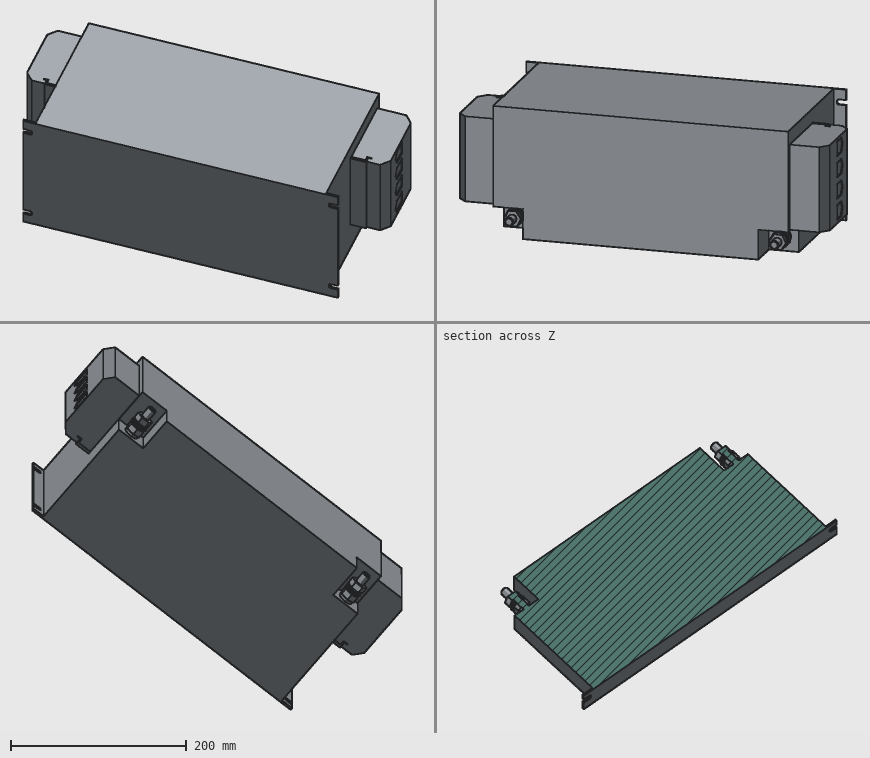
import cadquery as cq
import math


overall_length = 439.5
overall_depth = 180.2
overall_height = 155.0
body_length = 351.0
plate_length = 380.3
plate_thickness = 2.5
end_x = body_length / 2
back_y = overall_depth
bottom_z = -overall_height / 2
top_z = overall_height / 2

slot_width = 6.0
slot_depth = 11.0
slot_edge_offset = 15.5

terminal_count = 4
terminal_height = 25.28
block_depth = 89.0
block_back_offset = 6.0
block_top_offset = 17.0
chamfer_x = 9.2
chamfer_y = 10.5
block_height = terminal_count * terminal_height
block_back_y = back_y - block_back_offset
block_front_y = block_back_y - block_depth
block_top_z = top_z - block_top_offset
block_bottom_z = block_top_z - block_height

opening_depth = 1.5
opening_width = 17.0
opening_back_y = 134.0
opening_shoulder_y = 117.0
opening_tip_y = 112.0

rail_front_y = 83.5
rail_web_thickness = 3.0
rail_lip_x = 194.5
rail_lip_thickness = 1.8
rail_flange_y = 92.5
rail_flange_x = 198.3
rail_flange_thickness = 1.0
rail_overhang = 0.5

notch_length = 35.5
notch_depth = 42.0
notch_height = 35.5
notch_wall_y = back_y - notch_depth

stud_diameter = 10.0
stud_chamfer = 1.0
stud_tip = 3.5
nut_across_flats = 17.5
outer_nut_start = 16.5
outer_nut_end = 24.5
outer_nut_angle = 4.0
washer_diameter = 20.2
washer_start = 27.0
washer_end = 28.5
inner_nut_start = 30.8
inner_nut_end = 38.5
inner_nut_angle = 30.0
collar_diameter = 17.0
nut_corner_diameter = nut_across_flats / math.cos(math.pi / 6)
stud_x = -end_x + notch_length / 2
stud_z = bottom_z + notch_height / 2


def box(x_range, y_range, z_range):
    """Box spanning the given (low, high) ranges."""
    low, high = zip(x_range, y_range, z_range)
    size = [b - a for a, b in zip(low, high)]
    return cq.Workplane("XY").box(*size, centered=False).translate(low)


def make_housing():
    body = box((-end_x, end_x), (0, back_y), (bottom_z, top_z))
    plate_end = plate_length / 2
    plate = box((-plate_end, plate_end), (0, plate_thickness), (bottom_z, top_z))
    return body.union(plate)


def make_slots():
    """Round-ended cutters for the four open mounting slots."""
    slot_x = plate_length / 2
    slot_z = top_z - slot_edge_offset
    return (
        cq.Workplane("XZ")
        .pushPoints([(x, z) for x in (-slot_x, slot_x) for z in (-slot_z, slot_z)])
        .slot2D(2 * slot_depth, slot_width)
        .extrude(-plate_thickness)
    )


def make_terminal_block():
    """Left terminal block with chamfered outer corners and shallow wire openings."""
    outer_x = -overall_length / 2
    block = (
        cq.Workplane("XY")
        .workplane(offset=block_bottom_z)
        .polyline([
            (-end_x, block_front_y),
            (outer_x + chamfer_x, block_front_y),
            (outer_x, block_front_y + chamfer_y),
            (outer_x, block_back_y - chamfer_y),
            (outer_x + chamfer_x, block_back_y),
            (-end_x, block_back_y),
        ])
        .close()
        .extrude(block_height)
    )
    half_width = opening_width / 2
    for index in range(terminal_count):
        middle_z = block_bottom_z + (index + 0.5) * terminal_height
        opening = (
            cq.Workplane("YZ")
            .workplane(offset=outer_x)
            .polyline([
                (opening_back_y, middle_z - half_width),
                (opening_shoulder_y, middle_z - half_width),
                (opening_tip_y, middle_z),
                (opening_shoulder_y, middle_z + half_width),
                (opening_back_y, middle_z + half_width),
            ])
            .close()
            .extrude(opening_depth)
        )
        block = block.cut(opening)
    return block


def make_rail():
    """Left support rail, slightly taller than its terminal block."""
    web_back_y = rail_front_y + rail_web_thickness
    lip_inner_x = rail_lip_x - rail_lip_thickness
    return (
        cq.Workplane("XY")
        .workplane(offset=block_bottom_z - rail_overhang)
        .polyline([
            (-end_x, rail_front_y),
            (-rail_lip_x, rail_front_y),
            (-rail_lip_x, rail_flange_y - rail_flange_thickness),
            (-rail_flange_x, rail_flange_y - rail_flange_thickness),
            (-rail_flange_x, rail_flange_y),
            (-lip_inner_x, rail_flange_y),
            (-lip_inner_x, web_back_y),
            (-end_x, web_back_y),
        ])
        .close()
        .extrude(block_height + 2 * rail_overhang)
    )


def make_notch():
    return box(
        (-end_x, -end_x + notch_length),
        (notch_wall_y, back_y),
        (bottom_z, bottom_z + notch_height),
    )


def stud_plane(distance):
    """Plane across the stud axis, facing forward, at a distance from the back face."""
    return cq.Workplane("XZ", origin=(stud_x, back_y - distance, stud_z))


def stud_disc(diameter, start, end):
    return stud_plane(start).circle(diameter / 2).extrude(end - start)


def stud_nut(start, end, angle):
    """Hexagonal nut turned about the stud axis."""
    return (
        stud_plane(start)
        .transformed(rotate=(0, 0, angle))
        .polygon(6, nut_corner_diameter)
        .extrude(end - start)
    )


def make_stud():
    """Left earthing stud with two nuts, a flat washer and collars between them."""
    shank = stud_disc(stud_diameter, stud_tip, notch_depth).faces(">Y").chamfer(stud_chamfer)
    return (
        shank
        .union(stud_disc(collar_diameter, outer_nut_start, notch_depth))
        .union(stud_nut(outer_nut_start, outer_nut_end, outer_nut_angle))
        .union(stud_disc(washer_diameter, washer_start, washer_end))
        .union(stud_nut(inner_nut_start, inner_nut_end, inner_nut_angle))
    )


result = make_housing().cut(make_slots())

notch = make_notch()
result = result.cut(notch).cut(notch.mirror("YZ"))
for fitting in (make_terminal_block().union(make_rail()), make_stud()):
    result = result.union(fitting).union(fitting.mirror("YZ"))